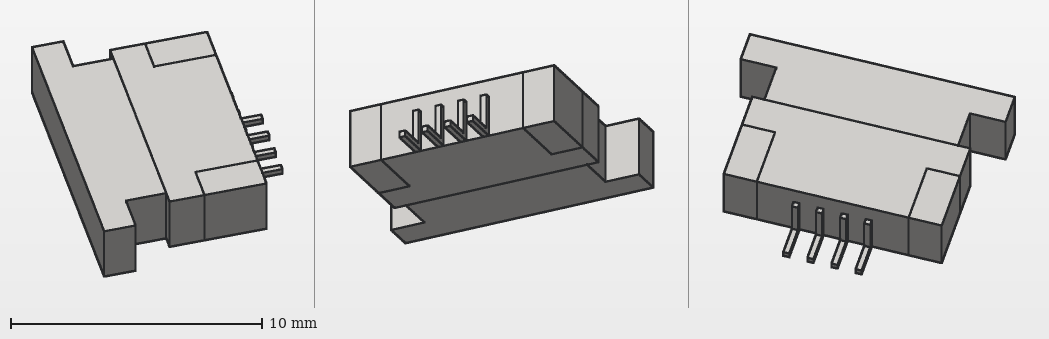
import cadquery as cq

body_height = 2.5

bar_width = 11.0
bar_depth = 1.3
stem_width = 8.04
stem_depth = 1.66

housing_width = 9.05
housing_depth = 4.0
housing_front_y = bar_depth + stem_depth
housing_back_y = housing_front_y + housing_depth

corner_width = 1.38
corner_depth = 2.56
corner_center_x = (housing_width - corner_width) / 2

contact_count = 4
contact_pitch = 1.0
contact_width = 0.25
contact_reach = 1.44
contact_height = 1.74
riser_thickness = 0.23
foot_thickness = 0.25


def block(width, depth, height, center_x, front_y):
    """Rectangular block standing on Z = 0."""
    return (
        cq.Workplane("XY")
        .box(width, depth, height, centered=(True, False, False))
        .translate((center_x, front_y, 0))
    )


def make_slider():
    bar = block(bar_width, bar_depth, body_height, 0, 0)
    stem = block(stem_width, stem_depth, body_height, 0, bar_depth)
    return bar.union(stem)


def make_corner_block(center_x):
    return block(corner_width, corner_depth, body_height, center_x, housing_back_y - corner_depth)


def make_housing(corner_blocks):
    housing = block(housing_width, housing_depth, body_height, 0, housing_front_y)
    for corner_block in corner_blocks:
        housing = housing.cut(corner_block)
    return housing


def make_contact(center_x):
    riser = block(contact_width, riser_thickness, contact_height, center_x, housing_back_y)
    foot = block(contact_width, contact_reach, foot_thickness, center_x, housing_back_y)
    return riser.union(foot)


slider = make_slider()
corner_blocks = [make_corner_block(side * corner_center_x) for side in (-1, 1)]
housing = make_housing(corner_blocks)
contacts = [
    make_contact((index - (contact_count - 1) / 2) * contact_pitch)
    for index in range(contact_count)
]

result = cq.Compound.makeCompound([
    slider.solids().val(),
    housing.solids().val(),
    *[corner_block.val() for corner_block in corner_blocks],
    *[contact.solids().val() for contact in contacts],
])